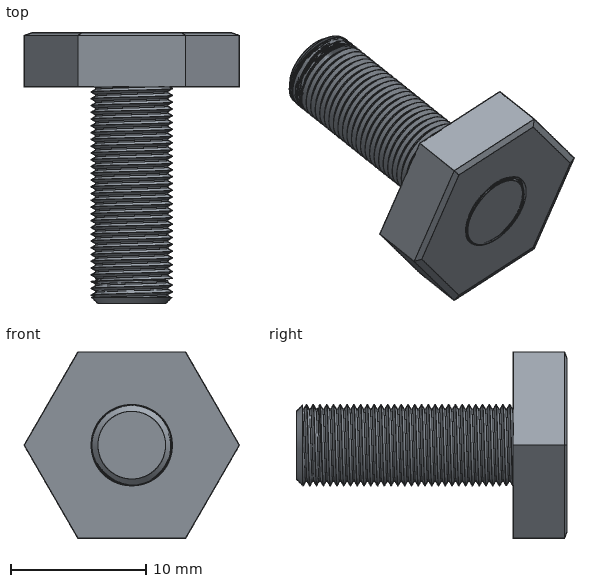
import cadquery as cq
import math

HEAD_CORNERS = 15.9
HEAD_HEIGHT = 4.0
BEVEL_DEPTH = 0.2
BEVEL_INSET = 0.5

STUD_REACH = 16.0
CREST_DIAMETER = 6.0
ROOT_DIAMETER = 5.35
PITCH = 0.5
FLANK_ANGLE = 30.0
CREST_WIDTH = 0.02
RIDGE_EMBED = 0.05

TIP_BASE_DIAMETER = 5.92
TIP_END_DIAMETER = 5.0

TIP_HEIGHT = (TIP_BASE_DIAMETER - TIP_END_DIAMETER) / 2
THREAD_LENGTH = HEAD_HEIGHT + STUD_REACH - TIP_HEIGHT
CREST_RADIUS = CREST_DIAMETER / 2
ROOT_RADIUS = ROOT_DIAMETER / 2


def stud_cylinder(diameter, length):
    """Cylinder on the stud axis, running from the outer face of the head toward the tip."""
    return cq.Workplane("XZ", origin=(0, HEAD_HEIGHT, 0)).circle(diameter / 2).extrude(length)


def make_head():
    """Hexagonal head, bevelled around its outer face, with a plain bore for the stud."""
    head = cq.Workplane("XZ").polygon(6, HEAD_CORNERS).extrude(-HEAD_HEIGHT)
    head = head.faces(">Y").edges().chamfer(BEVEL_DEPTH, BEVEL_INSET)
    return head.cut(stud_cylinder(CREST_DIAMETER, HEAD_HEIGHT))


def make_thread_ridge():
    """Right-handed V-shaped helical ridge, trimmed flat at both ends of the thread."""
    base_radius = ROOT_RADIUS - RIDGE_EMBED
    half_crest = CREST_WIDTH / 2
    half_base = half_crest + (CREST_RADIUS - base_radius) * math.tan(math.radians(FLANK_ANGLE))
    helix = cq.Wire.makeHelix(PITCH, THREAD_LENGTH + 2 * PITCH, base_radius)
    ridge = (
        cq.Workplane("XZ")
        .polyline([
            (base_radius, -half_base),
            (CREST_RADIUS, -half_crest),
            (CREST_RADIUS, half_crest),
            (base_radius, half_base),
        ])
        .close()
        .sweep(cq.Workplane(obj=helix), isFrenet=True)
    )
    ridge = ridge.rotate((0, 0, 0), (0, 0, 1), -90).rotate((0, 0, 0), (1, 0, 0), 90)
    ridge = ridge.translate((0, HEAD_HEIGHT + PITCH, 0))
    return ridge.intersect(stud_cylinder(CREST_DIAMETER + PITCH, THREAD_LENGTH))


def make_tip():
    """Cone that narrows from the end of the thread to the flat end face."""
    return (
        cq.Workplane("XZ", origin=(0, HEAD_HEIGHT - THREAD_LENGTH, 0))
        .circle(TIP_BASE_DIAMETER / 2)
        .workplane(offset=TIP_HEIGHT)
        .circle(TIP_END_DIAMETER / 2)
        .loft()
    )


def make_stud():
    """Core, thread ridge and tip fused into one solid."""
    core = stud_cylinder(ROOT_DIAMETER, THREAD_LENGTH)
    return core.union(make_thread_ridge()).union(make_tip())


head = make_head()
stud = make_stud()

result = cq.Compound.makeCompound([head.val(), *stud.vals()])